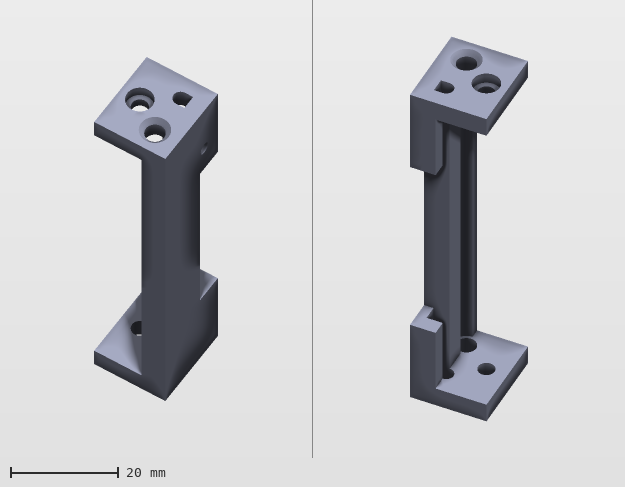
import cadquery as cq

depth = 15.7
width = 17.9
height = 75.3
plate_thickness = 4.15
web_front = 10.5
web_width = 11.8
tab_length = 13.85

rod_x = web_front
rod_y = 4.6
screw_x = 4.3
screw_y = width / 2

rod_hole_diameter = 4.0
rod_groove_diameter = 5.3
rod_countersink_diameter = 6.0
screw_hole_diameter = 3.4
screw_counterbore_diameter = 5.5
screw_counterbore_depth = 2.25
cross_hole_diameter = 2.5
cross_hole_drop = 11.75

slot_width = 3.0
slot_flat_x = 12.3
lower_flat_x = 13.8
slot_y = web_width + slot_width / 2

inner_top = height - plate_thickness


def box(x0, x1, y0, y1, z0, z1):
    """Box given by its limits along each axis."""
    return cq.Workplane("XY").box(x1 - x0, y1 - y0, z1 - z0, centered=False).translate((x0, y0, z0))


def vertical_cylinder(x, y, diameter, z0, z1):
    """Cylinder along Z between two heights."""
    return cq.Workplane("XY", origin=(x, y, z0)).circle(diameter / 2).extrude(z1 - z0)


def make_frame():
    """Two end plates, the web between them and a tab beside the web at each end."""
    frame = box(web_front, depth, 0, web_width, 0, height)
    for plate_base in (0, inner_top):
        frame = frame.union(box(0, depth, 0, width, plate_base, plate_base + plate_thickness))
    for tab_base in (plate_thickness, inner_top - tab_length):
        frame = frame.union(box(web_front, depth, web_width, width, tab_base, tab_base + tab_length))
    return frame


def cut_rod_passage(body):
    """Through hole, half-round web groove and top countersink on one axis."""
    hole = vertical_cylinder(rod_x, rod_y, rod_hole_diameter, 0, height)
    groove = vertical_cylinder(rod_x, rod_y, rod_groove_diameter, plate_thickness, inner_top)
    countersink_depth = (rod_countersink_diameter - rod_hole_diameter) / 2
    countersink = cq.Workplane(
        cq.Solid.makeCone(
            rod_hole_diameter / 2,
            rod_countersink_diameter / 2,
            countersink_depth,
            pnt=cq.Vector(rod_x, rod_y, height - countersink_depth),
        )
    )
    return body.cut(hole).cut(groove).cut(countersink)


def cut_screw_holes(body):
    """Holes through both plates, counterbored in the top plate."""
    hole = vertical_cylinder(screw_x, screw_y, screw_hole_diameter, 0, height)
    counterbore = vertical_cylinder(
        screw_x, screw_y, screw_counterbore_diameter, height - screw_counterbore_depth, height
    )
    return body.cut(hole).cut(counterbore)


def cut_slot(body):
    """D-shaped slot along the whole height, open along the inner corner of both tabs."""
    slot_radius = slot_width / 2
    slot = box(rod_x, slot_flat_x, slot_y - slot_radius, slot_y + slot_radius, 0, height)
    rounded_side = vertical_cylinder(rod_x, slot_y, slot_width, 0, height)
    lower_tab_top = plate_thickness + tab_length
    lower_slot = box(
        rod_x, lower_flat_x, slot_y - slot_radius, slot_y + slot_radius, 0, lower_tab_top
    )
    return body.cut(slot).cut(lower_slot).cut(rounded_side)


def cut_cross_hole(body):
    """Hole along X through the upper tab, centred on the slot."""
    hole = (
        cq.Workplane("YZ")
        .center(slot_y, height - cross_hole_drop)
        .circle(cross_hole_diameter / 2)
        .extrude(depth)
    )
    return body.cut(hole)


result = make_frame()
result = cut_rod_passage(result)
result = cut_screw_holes(result)
result = cut_slot(result)
result = cut_cross_hole(result)